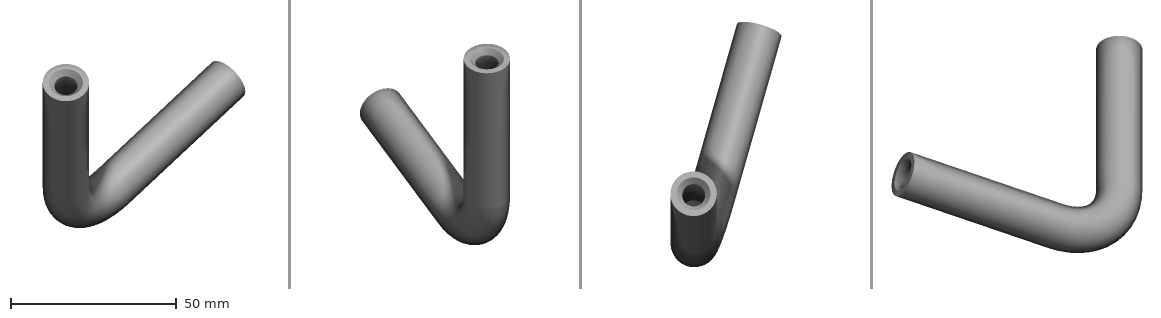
import cadquery as cq
import math

overall = 82.0
rod_diameter = 14.0
bend_radius = 22.0
bore_diameter = 7.0
bore_depth = 19.7
drill_point_angle = 118.0
countersink_diameter = 10.25
countersink_angle = 90.0

rod_radius = rod_diameter / 2
bore_radius = bore_diameter / 2
countersink_radius = countersink_diameter / 2
leg_length = overall - bend_radius - rod_radius
centreline_reach = leg_length + bend_radius
countersink_depth = (countersink_radius - bore_radius) / math.tan(math.radians(countersink_angle / 2))
drill_point_depth = bore_radius / math.tan(math.radians(drill_point_angle / 2))


def make_rod():
    """Round bar bent through 90 degrees; the centrelines of its legs meet at the origin."""
    diagonal = bend_radius * (1 - math.sqrt(0.5))
    centreline = (
        cq.Workplane("YZ")
        .moveTo(0, centreline_reach)
        .lineTo(0, bend_radius)
        .threePointArc((diagonal, diagonal), (bend_radius, 0))
        .lineTo(centreline_reach, 0)
    )
    return cq.Workplane("XY", origin=(0, 0, centreline_reach)).circle(rod_radius).sweep(centreline)


def make_bore():
    """Blind drilled hole with a countersunk mouth, on the axis of the upright leg."""
    bore_end = centreline_reach - bore_depth
    return (
        cq.Workplane("XZ")
        .moveTo(0, centreline_reach)
        .lineTo(countersink_radius, centreline_reach)
        .lineTo(bore_radius, centreline_reach - countersink_depth)
        .lineTo(bore_radius, bore_end)
        .lineTo(0, bore_end - drill_point_depth)
        .close()
        .revolve(360, (0, 0, 0), (0, 1, 0))
    )


upright_bore = make_bore()
level_bore = upright_bore.rotate((0, 0, 0), (1, 0, 0), -90)

result = make_rod().cut(upright_bore).cut(level_bore)